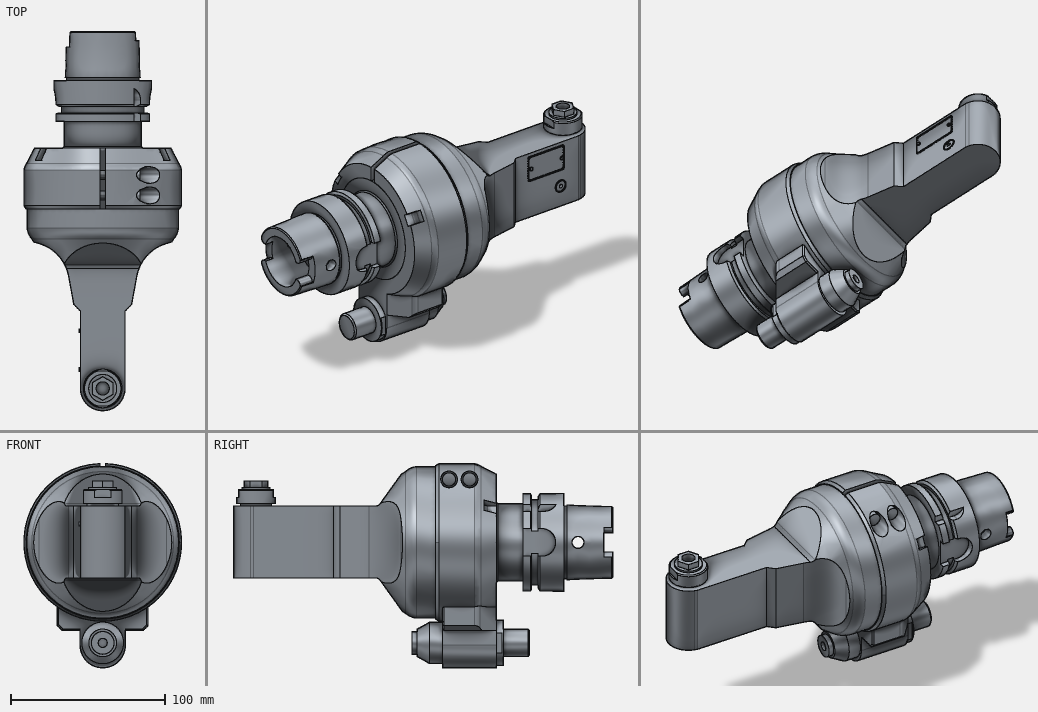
import cadquery as cq
import math


tail_radius = 23.3
taper_root_radius = 24.3
tail_chamfer = 0.7
groove_start = 29.7
groove_radius = 23.5
flange_start = 31.7
flange_end = 47.1
flange_radius = 31.7
gorge_start = 48.4
gorge_end = 52.5
gorge_radius = 27.7
gorge_chamfer_radius = 29.7
rim_start = 53.3
rim_end = 58.2
neck_radius = 25.0
neck_collar_radius = 26.0
neck_collar_start = 74.4
bore_diameter = 34.0
bore_depth = 28.2
cross_hole_diameter = 7.5
cross_hole_station = 22.5
keyway_half_width = 6.1
keyway_round = 3.5
keyway_round_x = 20.5
keyway_depths = {-1: 9.8, 1: 6.0}
side_pocket_width = 18.0
side_pocket_start = 37.0
side_pocket_floor = 26.8
notch_runout_end = 44.2
notch_depth_place = 20.1
notch_runout_radius = 8.3

collar_start = 75.4
collar_end = 114.9
collar_radius = 51.0
collar_bore_radius = 34.4
collar_back_radius = 44.2
collar_cone_end = 85.5
collar_cone_radius = 49.3
collar_round_end = 89.5
collar_round_bulge = 0.2
collar_front_chamfer_start = 112.7
collar_front_radius = 49.5
slit_width = 3.5
clamp_screw_stations = (92.8, 106.0)
clamp_screw_height = 40.7
clamp_shaft_diameter = 6.0
clamp_shaft_length = 9.8
clamp_head_diameter = 8.5
clamp_head_end = 24.0
counterbore_diameter = 10.8
counterbore_floor = 18.5
spanner_slot_angles = (-60, 60)
spanner_slot_width = 7.5
spanner_slot_floor = 40.7
spanner_slot_end = 83.5
spanner_slot_round = 2.5

block_half_width = 29.5
block_top = -38.0
block_bottom = -57.0
block_end = 110.2
block_taper_end = 87.4
block_taper_round = 5.0
block_bottom_chamfer = 3.2
block_end_chamfer = 1.0
lug_radius = 14.7
lug_center_z = -66.5

pin_z = -65.0
pin_radius = 8.95
pin_tail = 54.0
pin_tail_chamfer = 1.0
pin_flange_start = 71.0
pin_flat_start = 71.7
pin_flange_radius = 14.7
pin_flange_flat = 13.3
pin_barrel_radius = 13.5
pin_barrel_end = 118.5
pin_cone_end = 126.6
pin_tip_radius = 7.4
pin_tip = 130.0
pin_hole_diameter = 6.0
pin_hole_depth = 2.5

housing_radius = 49.0
nose_round_start = 127.1
nose_round_end = 134.3
nose_round_middle = (48.0, 130.8)
nose_cone_radius = 46.0
nose_end = 153.5
nose_end_radius = 33.6
arm_start = 147.3
arm_top = 23.5
arm_bottom = -23.0
arm_half_width = 14.5
arm_tip = 245.5
slope_start = 135.5
slope_start_z = 46.1
slope_end = 151.7
slope_fillet = 3.7
flank_outer = (51.5, 134.0)
flank_start = (41.2, 137.2)
flank_end = (22.21, 157.8)
flank_radius = 27.0
shoulder_start = (18.78, 176.5)
shoulder_end_station = 181.0
tip_bevel_start = 232.5
tip_bevel_end = (14.0, 234.6)

plate_start = 191.5
plate_end = 221.0
plate_bottom = 3.0
plate_top = 20.9
plate_gap = 0.7
recess_depth = 0.7
plate_corner = 1.2
rivet_diameter = 2.5
rivet_inset = 2.2
rivet_height = 0.7
plug_station = 218.2
plug_z = -8.5
plug_recess_diameter = 8.5
plug_diameter = 7.5
plug_hole_diameter = 2.5
plug_hole_depth = 2.5

spindle_station = 231.0
spindle_base_radius = 10.0
nut_bottom = 25.0
nut_radius = 12.5
nut_top = 34.4
nut_chamfer = 0.7
nut_flat_bottom = 29.2
nut_flat_offset = 11.3
ring_radius = 9.0
ring_top = 35.5
hex_across_flats = 13.3
hex_top = 39.8
collet_hole_diameter = 8.5
collet_hole_depth = 7.4

pick_margin = 0.2


def turned(points):
    """Solid of revolution about Y from (radius, station) points."""
    outline = [(radius, -station) for radius, station in points]
    return cq.Workplane("XY").polyline(outline).close().revolve(360, (0, 0, 0), (0, 1, 0))


def block(x_range, station_range, z_range):
    """Box between two X places, two stations and two heights."""
    x0, x1 = x_range
    s0, s1 = station_range
    z0, z1 = z_range
    return cq.Workplane("XY").box(x1 - x0, s1 - s0, z1 - z0, centered=False).translate((x0, -s1, z0))


def rod_x(diameter, x_start, x_end, station, z):
    """Cylinder along X."""
    return (
        cq.Workplane("YZ", origin=(x_start, -station, z))
        .circle(diameter / 2)
        .extrude(x_end - x_start)
    )


def keyway(side):
    """Drive slot in the tail, rounded outwards at its mouth."""
    reach = flange_radius
    corner_z = keyway_half_width + keyway_round
    corner_x = keyway_round_x - keyway_round
    bend = keyway_round * (1 - math.sqrt(0.5))
    upper = (
        cq.Workplane("XZ")
        .moveTo(0, 0)
        .lineTo(0, keyway_half_width)
        .lineTo(corner_x, keyway_half_width)
        .threePointArc(
            (keyway_round_x - bend, keyway_half_width + bend),
            (keyway_round_x, corner_z),
        )
        .lineTo(reach, corner_z)
        .lineTo(reach, 0)
        .close()
        .extrude(keyway_depths[side])
    )
    slot = upper.union(upper.mirror("XY"))
    return slot if side > 0 else slot.mirror("YZ")


def side_pocket():
    """Round-ended flat pocket across the flange and its rim, on the +X side."""
    radius = side_pocket_width / 2
    depth = flange_radius - side_pocket_floor + 2.5
    center = side_pocket_start + radius
    end = cq.Workplane("YZ", origin=(side_pocket_floor, -center, 0)).circle(radius).extrude(depth)
    run = block((side_pocket_floor, side_pocket_floor + depth), (center, rim_end), (-radius, radius))
    return end.union(run)


def orientation_notch():
    """Square corner notch in the flange and rim, with a curved run-out at its start."""
    outside = flange_radius
    runout_top = notch_depth_place + notch_runout_radius
    runout_back = notch_runout_end - notch_runout_radius
    bend = notch_runout_radius * math.sqrt(0.5)
    return (
        cq.Workplane("YZ", origin=(notch_depth_place, 0, 0))
        .moveTo(-rim_end, notch_depth_place)
        .lineTo(-notch_runout_end, notch_depth_place)
        .threePointArc(
            (-notch_runout_end + bend, runout_top - bend),
            (-runout_back, runout_top),
        )
        .lineTo(-runout_back, outside)
        .lineTo(-rim_end, outside)
        .close()
        .extrude(outside)
    )


def make_shank():
    shank = turned([
        (0, 0),
        (tail_radius - tail_chamfer, 0),
        (tail_radius, tail_chamfer),
        (taper_root_radius, groove_start),
        (groove_radius, groove_start),
        (groove_radius, flange_start),
        (flange_radius, flange_start),
        (flange_radius, flange_end),
        (gorge_chamfer_radius, gorge_start),
        (gorge_radius, gorge_start),
        (gorge_radius, gorge_end),
        (gorge_chamfer_radius, gorge_end),
        (flange_radius, rim_start),
        (flange_radius, rim_end),
        (neck_radius, rim_end),
        (neck_radius, neck_collar_start),
        (neck_collar_radius, collar_start),
        (0, collar_start),
    ])
    bore = turned([(0, 0), (bore_diameter / 2, 0), (bore_diameter / 2, bore_depth), (0, bore_depth)])
    cross_hole = rod_x(cross_hole_diameter, -flange_radius, flange_radius, cross_hole_station, 0)
    shank = shank.cut(bore).cut(cross_hole)
    for side in (-1, 1):
        shank = shank.cut(keyway(side))
    pocket = side_pocket()
    return shank.cut(pocket).cut(pocket.mirror("YZ")).cut(orientation_notch())


def collar_ring():
    """Ring with a coned and rounded back edge and a chamfered front edge."""
    round_middle = (
        (collar_cone_radius + collar_radius) / 2 + collar_round_bulge,
        -(collar_cone_end + collar_round_end) / 2,
    )
    return (
        cq.Workplane("XY")
        .moveTo(collar_bore_radius, -collar_start)
        .lineTo(collar_back_radius, -collar_start)
        .lineTo(collar_cone_radius, -collar_cone_end)
        .threePointArc(round_middle, (collar_radius, -collar_round_end))
        .lineTo(collar_radius, -collar_front_chamfer_start)
        .lineTo(collar_front_radius, -collar_end)
        .lineTo(collar_bore_radius, -collar_end)
        .close()
        .revolve(360, (0, 0, 0), (0, 1, 0))
    )


def bracket():
    """Block that carries the round-bottomed lug of the locating pin."""
    half_plan = [
        (0, -collar_start),
        (lug_radius, -collar_start),
        (block_half_width, -block_taper_end),
        (block_half_width, -block_end),
        (0, -block_end),
    ]
    base = (
        cq.Workplane("XY", origin=(0, 0, block_bottom))
        .polyline(half_plan)
        .mirrorY()
        .extrude(block_top - block_bottom)
    )
    base = base.faces("<X or >X").edges("|Y and <Z").chamfer(block_bottom_chamfer)
    taper_corners = cq.selectors.BoxSelector(
        (-block_half_width - 2.5, -block_taper_end - pick_margin, block_bottom - 2.5),
        (block_half_width + 2.5, -block_taper_end + pick_margin, block_top + 2.5),
    )
    base = base.edges("|Z").edges(taper_corners).fillet(block_taper_round)
    base = base.faces("<Y").chamfer(block_end_chamfer)
    web = block((-lug_radius, lug_radius), (collar_start, block_end), (lug_center_z, block_top))
    round_end = (
        cq.Workplane("XZ", origin=(0, -collar_start, lug_center_z))
        .circle(lug_radius)
        .extrude(block_end - collar_start)
    )
    return base.union(web).union(round_end)


def spanner_slot(angle):
    """Flat-floored slot in the back cone of the collar, rounded up at its end."""
    half = spanner_slot_width / 2
    slot = block((-half, half), (collar_start, spanner_slot_end), (spanner_slot_floor, collar_radius))
    slot = slot.faces("<Y").edges("<Z").fillet(spanner_slot_round)
    return slot.rotate((0, 0, 0), (0, 1, 0), angle)


def make_collar():
    collar = collar_ring().union(bracket())
    slit = block(
        (-slit_width / 2, slit_width / 2),
        (collar_start, collar_end),
        (0, collar_radius),
    )
    collar = collar.cut(slit)
    for angle in spanner_slot_angles:
        collar = collar.cut(spanner_slot(angle))
    for station in clamp_screw_stations:
        place = (station, clamp_screw_height)
        counterbore = rod_x(counterbore_diameter, counterbore_floor, collar_radius, *place)
        head = rod_x(clamp_head_diameter, counterbore_floor, clamp_head_end, *place)
        shaft = rod_x(clamp_shaft_diameter, -clamp_shaft_length / 2, clamp_shaft_length / 2, *place)
        collar = collar.cut(counterbore).union(head).union(shaft)
    pin_hole = (
        cq.Workplane("XZ", origin=(0, -collar_start, pin_z))
        .circle(pin_radius)
        .extrude(block_end - collar_start)
    )
    return collar.cut(pin_hole)


def make_pin():
    pin = turned([
        (0, pin_tail),
        (pin_radius - pin_tail_chamfer, pin_tail),
        (pin_radius, pin_tail + pin_tail_chamfer),
        (pin_radius, pin_flange_start),
        (pin_flange_radius, pin_flange_start),
        (pin_flange_radius, collar_start),
        (pin_radius, collar_start),
        (pin_radius, block_end),
        (pin_barrel_radius, block_end),
        (pin_barrel_radius, pin_barrel_end),
        (pin_radius, pin_cone_end),
        (pin_tip_radius, pin_cone_end),
        (pin_tip_radius, pin_tip),
        (0, pin_tip),
    ])
    for x_range in ((-pin_flange_radius, -pin_flange_flat), (pin_flange_flat, pin_flange_radius)):
        flat = block(x_range, (pin_flat_start, collar_start), (-pin_flange_radius, pin_flange_radius))
        pin = pin.cut(flat)
    pin = pin.faces("<Y").workplane(centerOption="CenterOfMass").hole(pin_hole_diameter, pin_hole_depth)
    return pin.translate((0, 0, pin_z))


def plan_prism(z_bottom, z_top):
    """Prism of the housing's plan outline: flared flanks, tapered root, straight arm, round tip."""
    chord_x = flank_end[0] - flank_start[0]
    chord_s = flank_end[1] - flank_start[1]
    chord = math.hypot(chord_x, chord_s)
    sagitta = flank_radius - math.sqrt(flank_radius**2 - (chord / 2) ** 2)
    flank_middle = (
        (flank_start[0] + flank_end[0]) / 2 - sagitta * chord_s / chord,
        -(flank_start[1] + flank_end[1]) / 2 - sagitta * chord_x / chord,
    )
    tip_rise = arm_tip - tip_bevel_end[1]
    tip_radius = (tip_bevel_end[0] ** 2 + tip_rise**2) / (2 * tip_rise)
    tip_angle = math.asin(tip_bevel_end[0] / tip_radius) / 2
    tip_middle = (
        tip_radius * math.sin(tip_angle),
        -(arm_tip - tip_radius + tip_radius * math.cos(tip_angle)),
    )
    return (
        cq.Workplane("XY", origin=(0, 0, z_bottom))
        .moveTo(0, -collar_start)
        .lineTo(flank_outer[0], -collar_start)
        .lineTo(flank_outer[0], -flank_outer[1])
        .lineTo(flank_start[0], -flank_start[1])
        .threePointArc(flank_middle, (flank_end[0], -flank_end[1]))
        .lineTo(shoulder_start[0], -shoulder_start[1])
        .lineTo(arm_half_width, -shoulder_end_station)
        .lineTo(arm_half_width, -tip_bevel_start)
        .lineTo(tip_bevel_end[0], -tip_bevel_end[1])
        .threePointArc(tip_middle, (0, -arm_tip))
        .mirrorY()
        .extrude(z_top - z_bottom)
    )


def side_prism():
    """Prism of the nose's side outline: sloped faces running down to the arm's top and bottom."""
    run = slope_end - slope_start
    fall = slope_start_z - arm_top
    lead_station = slope_start - run
    lead_z = slope_start_z + fall
    drop = arm_top + arm_bottom
    outline = [
        (-collar_start, lead_z),
        (-lead_station, lead_z),
        (-slope_end, arm_top),
        (-nose_end - slope_fillet, arm_top),
        (-nose_end - slope_fillet, arm_bottom),
        (-slope_end, arm_bottom),
        (-lead_station, drop - lead_z),
        (-collar_start, drop - lead_z),
    ]
    prism = cq.Workplane("YZ").polyline(outline).close().extrude(collar_radius, both=True)
    corners = cq.selectors.BoxSelector(
        (-collar_radius, -slope_end - pick_margin, arm_bottom - pick_margin),
        (collar_radius, -slope_end + pick_margin, arm_top + pick_margin),
    )
    return prism.edges("|X").edges(corners).fillet(slope_fillet)


def nose():
    """Round housing with its spigot, rounded shoulder and cone."""
    body = (
        cq.Workplane("XY")
        .moveTo(0, -collar_start)
        .lineTo(collar_bore_radius, -collar_start)
        .lineTo(collar_bore_radius, -collar_end)
        .lineTo(housing_radius, -collar_end)
        .lineTo(housing_radius, -nose_round_start)
        .threePointArc(
            (nose_round_middle[0], -nose_round_middle[1]),
            (nose_cone_radius, -nose_round_end),
        )
        .lineTo(nose_end_radius, -nose_end)
        .lineTo(0, -nose_end)
        .close()
        .revolve(360, (0, 0, 0), (0, 1, 0))
    )
    return body.intersect(plan_prism(-collar_radius, collar_radius)).intersect(side_prism())


def name_plate(arm):
    """Recess in the -X face that holds a flush plate with two rivets."""
    face = -arm_half_width
    recess = block((face, face + recess_depth), (plate_start, plate_end), (plate_bottom, plate_top))
    plate = block(
        (face, face + recess_depth),
        (plate_start + plate_gap, plate_end - plate_gap),
        (plate_bottom + plate_gap, plate_top - plate_gap),
    )
    arm = arm.cut(recess.edges("|X").fillet(plate_corner)).union(plate.edges("|X").fillet(plate_corner))
    rivet_z = (plate_bottom + plate_top) / 2
    for station in (plate_start + rivet_inset, plate_end - rivet_inset):
        arm = arm.union(rod_x(rivet_diameter, face - rivet_height, face + recess_depth, station, rivet_z))
    return arm


def screw_plug(arm):
    """Round recess in the -X face with a flush plug and its small hole."""
    face = -arm_half_width
    place = (plug_station, plug_z)
    recess = rod_x(plug_recess_diameter, face, face + recess_depth, *place)
    plug = rod_x(plug_diameter, face, face + recess_depth, *place)
    hole = rod_x(plug_hole_diameter, face, face + plug_hole_depth, *place)
    return arm.cut(recess).union(plug).cut(hole)


def make_housing():
    arm_region = block((-collar_radius, collar_radius), (arm_start, arm_tip), (arm_bottom, arm_top))
    arm = plan_prism(arm_bottom, arm_top).intersect(arm_region)
    return screw_plug(name_plate(nose().union(arm)))


def disc(radius, z_bottom, z_top):
    """Cylinder along Z between two heights."""
    return cq.Workplane("XY", origin=(0, 0, z_bottom)).circle(radius).extrude(z_top - z_bottom)


def make_spindle():
    nut = disc(nut_radius, nut_bottom, nut_top).faces(">Z").edges().chamfer(nut_chamfer)
    for side in (-1, 1):
        flat = (
            cq.Workplane("XY")
            .box(2 * nut_radius, nut_radius, nut_top - nut_flat_bottom, centered=(True, True, False))
            .translate((0, side * (nut_flat_offset + nut_radius / 2), nut_flat_bottom))
        )
        nut = nut.cut(flat)
    across_corners = hex_across_flats / math.cos(math.pi / 6)
    hexagon = (
        cq.Workplane("XY", origin=(0, 0, ring_top))
        .polygon(6, across_corners)
        .extrude(hex_top - ring_top)
        .rotate((0, 0, 0), (0, 0, 1), 30)
    )
    spindle = disc(spindle_base_radius, arm_top, nut_bottom).union(nut)
    spindle = spindle.union(disc(ring_radius, nut_top, ring_top)).union(hexagon)
    spindle = spindle.cut(disc(collet_hole_diameter / 2, hex_top - collet_hole_depth, hex_top))
    return spindle.translate((0, -spindle_station, 0))


shank = make_shank()
collar = make_collar()
locating_pin = make_pin()
housing = make_housing()
collet_spindle = make_spindle()

result = cq.Compound.makeCompound([
    shank.val(),
    collar.val(),
    locating_pin.val(),
    housing.val(),
    collet_spindle.val(),
])